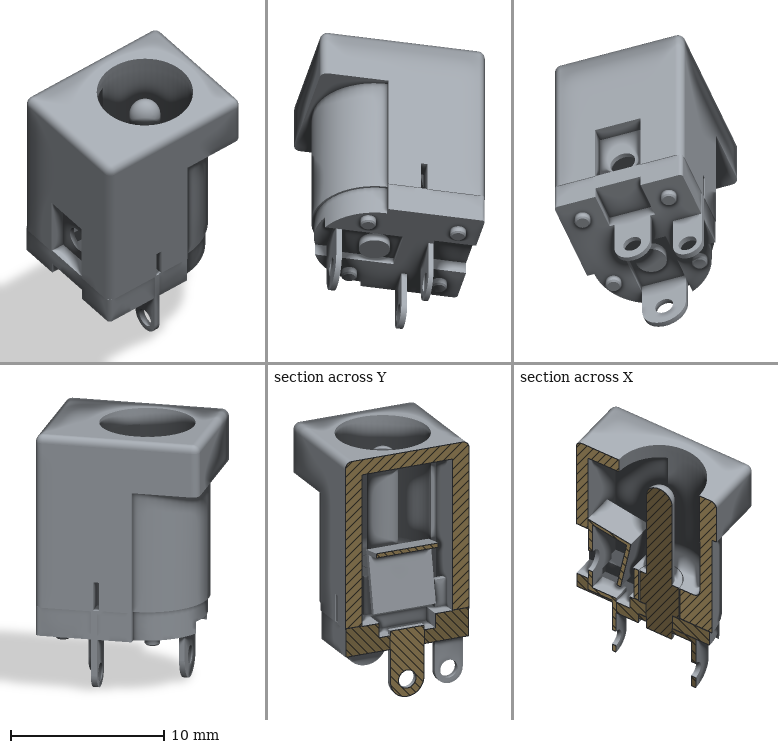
import cadquery as cq
import math


overall_height = 17.2

case_width = 9.0
case_depth = 11.0
case_top = 13.7
case_round = 0.5
case_back = case_width / 2
case_front = case_back - case_depth
head_underside = 10.23
barrel_radius = 4.13
lip_height = 0.05

bore_radius = 3.15
bore_floor = 4.7
bore_floor_round = 0.5
collar_radius = 1.55
collar_clearance = 0.05

chamber_width = 6.54
chamber_back = -1.2
chamber_top = 12.6
tongue_width = 4.63
tongue_end = -2.01
window_width = 3.15
window_top = 6.35
window_depth = 0.96
chamber_front = case_front + window_depth
slot_back = -2.17
slot_front = -2.58
slot_top = 3.94

base_height = 2.0
base_inset = 0.05
base_round = 0.24
base_barrel_radius = 3.95
base_half_width = case_width / 2 - base_inset
base_front = case_front + base_inset
notch_height = 0.8
spring_pocket_width = 4.06
spring_pocket_floor = 1.0
spring_pocket_back = -2.32
foot_radius = 0.52
foot_height = 0.48
foot_chamfer = 0.1
foot_x = 3.0
foot_ys = (-4.95, 1.05)

pin_radius = 1.01
pin_tip = 12.73
pin_head_height = 0.14

tail_bottom = case_top - overall_height
tail_hole_radius = 0.62
spring_thickness = 0.33
spring_tail_width = 2.46
spring_tail_back = -3.35
spring_width = 4.5
spring_shoulder = 2.1
spring_hole_radius = 0.86
spring_hole_height = 3.61
plate_top = 7.05
leaf_bend_height = 6.54
leaf_bend_y = -2.39
leaf_end_y = -3.18
leaf_end_height = 2.5
side_thickness = 0.4
side_back = -2.32
side_width = 2.01
side_outer = case_width / 2
rear_thickness = 0.38
rear_back = 2.87
rear_width = 3.05
rear_tab_front = -1.6


def block(xs, ys, zs):
    """Box between two X, two Y and two Z limits."""
    x0, x1 = xs
    y0, y1 = ys
    z0, z1 = zs
    return cq.Workplane("XY").box(x1 - x0, y1 - y0, z1 - z0, centered=False).translate((x0, y0, z0))


def centred_block(width, ys, zs):
    """Box centred on X = 0."""
    return block((-width / 2, width / 2), ys, zs)


def cylinder(radius, z0, z1):
    """Cylinder on the socket axis."""
    return cq.Workplane("XY").workplane(offset=z0).circle(radius).extrude(z1 - z0)


def rod_along_y(radius, x, z, ys):
    """Cylinder parallel to Y."""
    y0, y1 = ys
    return cq.Workplane("XZ", origin=(x, y0, z)).circle(radius).extrude(y0 - y1)


def tail(x, width, ys, top):
    """Flat solder tail with a round end and a hole centred on that round."""
    radius = width / 2
    round_z = tail_bottom + radius
    shank = block((x - radius, x + radius), ys, (round_z, top))
    end = rod_along_y(radius, x, round_z, ys)
    hole = rod_along_y(tail_hole_radius, x, round_z, ys)
    return shank.union(end).cut(hole)


def bent_strip(path, thickness, width):
    """Sheet strip along a YZ centreline, with square ends and mitred bends."""
    headings = [math.atan2(z1 - z0, y1 - y0) for (y0, z0), (y1, z1) in zip(path, path[1:])]
    sides = {1: [], -1: []}
    for index, (y, z) in enumerate(path):
        before = headings[max(index - 1, 0)]
        after = headings[min(index, len(headings) - 1)]
        turn = math.remainder(after - before, 2 * math.pi)
        normal = before + turn / 2 + math.pi / 2
        reach = thickness / 2 / math.cos(turn / 2)
        for side, points in sides.items():
            points.append((y + side * reach * math.cos(normal), z + side * reach * math.sin(normal)))
    outline = sides[1] + sides[-1][::-1]
    return cq.Workplane("YZ", origin=(-width / 2, 0, 0)).polyline(outline).close().extrude(width)


spring_tail_ys = (spring_tail_back - spring_thickness, spring_tail_back)
side_ys = (side_back - side_thickness, side_back)
rear_ys = (rear_back - rear_thickness, rear_back)
rear_tab_zs = (notch_height - rear_thickness, notch_height)


def make_pin():
    """Centre pin with a domed tip, a collar in the socket floor and a riveted lower end."""
    dome_centre = pin_tip - pin_radius
    shank = cylinder(pin_radius, -pin_head_height, dome_centre)
    dome = cq.Workplane("XY").sphere(pin_radius).translate((0, 0, dome_centre))
    return shank.union(dome).union(cylinder(collar_radius, base_height, bore_floor))


def make_spring_contact():
    """Sleeve contact: a tail and foot in the base, a drilled plate and a folded leaf."""
    half = spring_thickness / 2
    tail_y = spring_tail_back - half
    foot_z = spring_pocket_floor + half
    plate_y = chamber_front + half
    foot = bent_strip(
        [
            (tail_y, spring_pocket_floor - half),
            (tail_y, foot_z),
            (plate_y, foot_z),
            (plate_y, spring_shoulder),
        ],
        spring_thickness,
        spring_tail_width,
    )
    leaf = bent_strip(
        [
            (plate_y, spring_shoulder),
            (plate_y, plate_top),
            (leaf_bend_y, leaf_bend_height),
            (leaf_end_y, leaf_end_height),
        ],
        spring_thickness,
        spring_width,
    )
    plate_ys = (chamber_front, chamber_front + spring_thickness)
    leaf = leaf.cut(rod_along_y(spring_hole_radius, 0, spring_hole_height, plate_ys))
    return tail(0, spring_tail_width, spring_tail_ys, spring_pocket_floor).union(foot).union(leaf)


def make_side_contact():
    """Switch contact: a tail at the +X side and a blade standing in the spring chamber."""
    blade_xs = (side_outer - side_width, chamber_width / 2)
    blade = block(blade_xs, side_ys, (base_height, slot_top))
    return tail(side_outer - side_width / 2, side_width, side_ys, base_height).union(blade)


def make_rear_terminal(pin):
    """Pin terminal: a tail behind a flat tab under the base that the pin passes through."""
    tab = centred_block(rear_width, (rear_tab_front, rear_back), rear_tab_zs)
    return tail(0, rear_width, rear_ys, notch_height).union(tab).cut(pin)


def make_base(other_bodies):
    """Base plate with notches, spring pocket, feet and passages for the metal parts."""
    body = (
        block((-base_half_width, base_half_width), (base_front, 0), (0, base_height))
        .edges("|Z and <Y")
        .fillet(base_round)
        .union(cylinder(base_barrel_radius, 0, base_height))
    )
    front_notch = centred_block(window_width, (base_front, spring_tail_ys[0]), (0, notch_height))
    rear_notch = centred_block(window_width, (rear_tab_front, case_back), (0, notch_height))
    spring_pocket = centred_block(
        spring_pocket_width, (chamber_front, spring_pocket_back), (spring_pocket_floor, base_height)
    )
    body = body.cut(front_notch).cut(rear_notch).cut(spring_pocket)
    foot = cylinder(foot_radius, -foot_height, 0).faces("<Z").chamfer(foot_chamfer)
    for x in (-foot_x, foot_x):
        for y in foot_ys:
            body = body.union(foot.translate((x, y, 0)))
    for other in other_bodies:
        body = body.cut(other)
    return body


def make_housing(other_bodies):
    """Housing with a round rear barrel, the socket, the spring chamber and its openings."""
    bottom = base_height - lip_height
    half_width = case_width / 2
    body = (
        block((-half_width, half_width), (case_front, case_back), (bottom, case_top))
        .edges("|Z or >Z")
        .fillet(case_round)
    )
    below_head = block((-half_width, half_width), (0, case_back), (bottom, head_underside))
    body = body.cut(below_head).union(cylinder(barrel_radius, base_height, head_underside))
    body = body.cut(block((-half_width, half_width), (slot_front, case_back), (bottom, base_height)))

    bore = cylinder(bore_radius, bore_floor, case_top).faces("<Z").edges().fillet(bore_floor_round)
    collar_hole = cylinder(collar_radius + collar_clearance, base_height, bore_floor)
    tongue = centred_block(tongue_width, (tongue_end, chamber_back), (bottom, bore_floor))
    chamber = centred_block(chamber_width, (chamber_front, chamber_back), (bottom, chamber_top)).cut(tongue)
    window = centred_block(window_width, (case_front, chamber_front), (bottom, window_top))
    side_slots = centred_block(case_width, (slot_front, slot_back), (bottom, slot_top))
    for opening in (bore, collar_hole, chamber, window, side_slots):
        body = body.cut(opening)
    for other in other_bodies:
        body = body.cut(other)
    return body


pin = make_pin()
spring_contact = make_spring_contact()
side_contact = make_side_contact()
rear_terminal = make_rear_terminal(pin)
base = make_base([pin, spring_contact, side_contact, rear_terminal])
housing = make_housing([base, side_contact])

result = cq.Compound.makeCompound(
    [
        housing.val(),
        base.val(),
        pin.val(),
        spring_contact.val(),
        side_contact.val(),
        rear_terminal.val(),
    ]
)